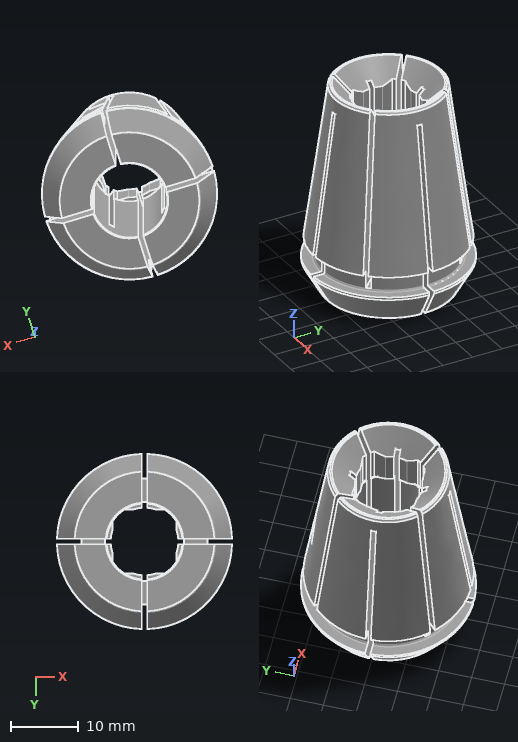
import cadquery as cq
import math

height = 34.0
width_across_slits = 25.8
slit_width = 0.78

flange_radius = math.hypot(width_across_slits / 2, slit_width / 2)
flange_top = 5.0
rim_height = 0.45
base_radius = 10.4
base_bevel = 0.15

neck_radius = 11.05
neck_fillet = 0.25
cone_bottom = 8.15
cone_bottom_radius = 12.55
cone_half_angle = 8.0
top_bevel = 0.35

mouth_radius = 8.33
round_bore_radius = 5.58
bore_bevel = 0.15
square_side = 9.4
square_corner_radius = 5.75
relief_radius = 4.95
square_bottom = 24.95

axis_slit_top = 31.45
diagonal_slit_floor = 5.3

cone_taper = math.tan(math.radians(cone_half_angle))
bevel_bottom = height - top_bevel
bevel_radius = cone_bottom_radius - (bevel_bottom - cone_bottom) * cone_taper


def make_body():
    """Revolved outside shape, solid to the axis."""
    fillet_sag = neck_fillet * (1 - math.sqrt(0.5))
    profile = (
        cq.Workplane("XZ")
        .lineTo(base_radius - base_bevel, 0)
        .lineTo(base_radius, base_bevel)
        .lineTo(flange_radius, flange_top - rim_height)
        .lineTo(flange_radius, flange_top)
        .lineTo(neck_radius + neck_fillet, flange_top)
        .threePointArc(
            (neck_radius + fillet_sag, flange_top + fillet_sag),
            (neck_radius, flange_top + neck_fillet),
        )
        .lineTo(neck_radius, cone_bottom - neck_fillet)
        .threePointArc(
            (neck_radius + fillet_sag, cone_bottom - fillet_sag),
            (neck_radius + neck_fillet, cone_bottom),
        )
        .lineTo(cone_bottom_radius, cone_bottom)
        .lineTo(bevel_radius, bevel_bottom)
        .lineTo(bevel_radius - top_bevel, height)
        .lineTo(0, height)
        .close()
    )
    return profile.revolve(360, (0, 0, 0), (0, 1, 0))


def make_bore():
    """Everything removed along the axis."""
    mouth = (
        cq.Workplane("XZ")
        .moveTo(0, height)
        .lineTo(mouth_radius, height)
        .lineTo(0, height - mouth_radius)
        .close()
        .revolve(360, (0, 0, 0), (0, 1, 0))
    )
    round_bore = (
        cq.Workplane("XZ")
        .lineTo(round_bore_radius + bore_bevel, 0)
        .lineTo(round_bore_radius, bore_bevel)
        .lineTo(round_bore_radius, square_bottom)
        .lineTo(0, square_bottom)
        .close()
        .revolve(360, (0, 0, 0), (0, 1, 0))
    )
    square_height = height - mouth_radius + square_corner_radius - square_bottom
    section = cq.Workplane("XY").workplane(offset=square_bottom)
    square = section.rect(square_side, square_side).extrude(square_height)
    corners = section.circle(square_corner_radius).extrude(square_height)
    relief = section.circle(relief_radius).extrude(square_height)
    return mouth.union(round_bore).union(square.intersect(corners)).union(relief)


def make_slits(bottom, top, turn):
    """Two crossing slits that run right across the part."""
    cutter = cq.Workplane("XY")
    for angle in (turn, turn + 90):
        slit = (
            cq.Workplane("XY")
            .workplane(offset=bottom)
            .rect(2 * width_across_slits, slit_width)
            .extrude(top - bottom)
            .rotate((0, 0, 0), (0, 0, 1), angle)
        )
        cutter = cutter.union(slit)
    return cutter


axis_slits = make_slits(0, axis_slit_top, 0)
diagonal_slits = make_slits(diagonal_slit_floor, height, 45)

result = make_body().cut(make_bore()).cut(axis_slits).cut(diagonal_slits)